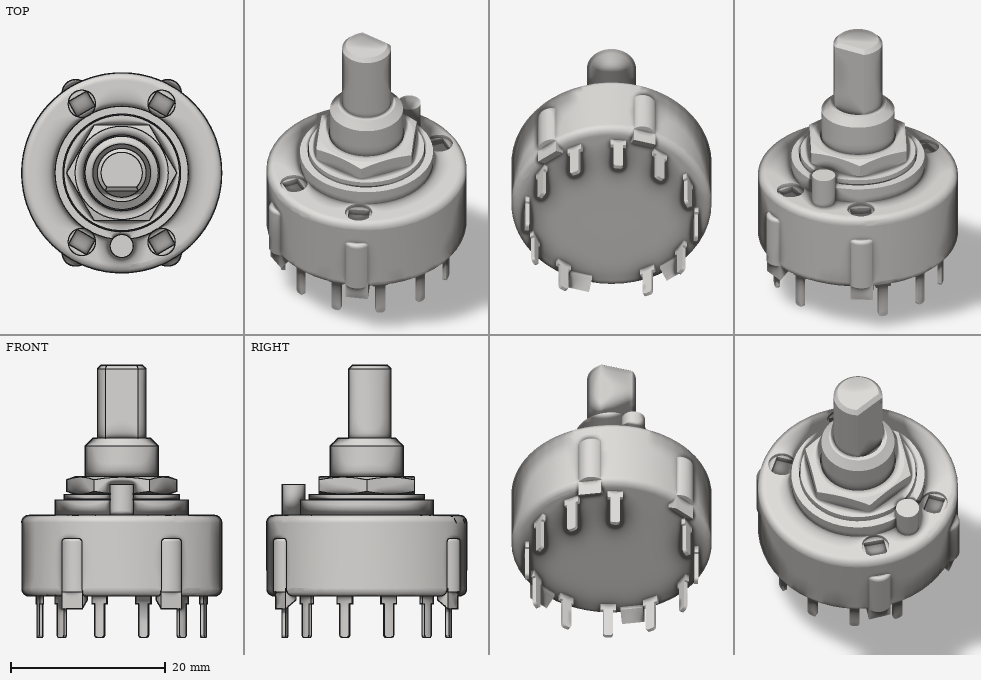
import cadquery as cq
import math

HOUSING_DIA = 26.0
HOUSING_HEIGHT = 10.5
HOUSING_EDGE_RADIUS = 1.0

PEDESTAL_DIA = 17.3
PEDESTAL_TOP = 12.5
WELL_DIA = 15.3

BUSHING_DIA = 9.5
BUSHING_TOP = 20.5
BUSHING_BASE_DIA = 10.25
BUSHING_CHAMFER = 1.0
SHAFT_DIA = 6.35
SHAFT_TOP = 30.0
SHAFT_CHAMFER = 0.5
FLAT_OFFSET = 2.35
FLAT_DEPTH_IN_BUSHING = 1.0

LOCATOR_DIA = 3.0
LOCATOR_OFFSET = 9.5
LOCATOR_TOP = 14.5

CLIP_STATIONS = ((60, 1), (120, -1), (240, 1), (300, -1))
CLIP_DIA = 3.55
WINDOW_OFFSET = 10.35
WINDOW_ROUND_DEPTH = 0.5
WINDOW_SLOT_WIDTH = 2.75
WINDOW_SLOT_LENGTH = 2.25
WINDOW_SLOT_DEPTH = 0.85
RIB_OFFSET = 11.95
RIB_BOTTOM = 0.55
RIB_TOP = 7.5
RIB_TOP_RADIUS = 0.45
HOOK_OUTER = 12.9
HOOK_DEPTH = 1.5
HOOK_WIDTH = 2.95
HOOK_TWIST = 4.0
HOOK_SLOPE_TOP = -0.5
HOOK_TIP = -1.65

TERMINAL_PLACES = 12
EMPTY_PLACE = 9
TERMINAL_OFFSET = 11.0
TERMINAL_WIDTH = 1.25
TERMINAL_THICKNESS = 0.5
TERMINAL_BOTTOM = -5.4
TERMINAL_TIP_RADIUS = 0.4
SHOULDER_WIDTH = 2.0
SHOULDER_LENGTH = 1.0

FLANGE_DIA = 15.0
FLANGE_BOTTOM = 12.6
FLANGE_TOP = 13.2
FLANGE_BORE_DIA = 10.31
NUT_TOP = 15.5
NUT_ACROSS_FLATS = 12.4
NUT_FACE_DIA = 12.1
NUT_BEVEL_HEIGHT = 0.4
NUT_BORE_DIA = 9.85


def cylinder(diameter, bottom, top):
    return cq.Workplane("XY").workplane(offset=bottom).circle(diameter / 2).extrude(top - bottom)


def box(x_range, y_width, z_range):
    """Box symmetric about the XZ plane."""
    length = x_range[1] - x_range[0]
    height = z_range[1] - z_range[0]
    return (
        cq.Workplane("XY")
        .box(length, y_width, height, centered=(False, True, False))
        .translate((x_range[0], 0, z_range[0]))
    )


def turned(shape, angle):
    return shape.rotate((0, 0, 0), (0, 0, 1), angle)


def make_shaft():
    flat_bottom = BUSHING_TOP - FLAT_DEPTH_IN_BUSHING
    shaft = cylinder(SHAFT_DIA, flat_bottom, SHAFT_TOP)
    beyond_flat = box((-SHAFT_DIA, SHAFT_DIA), SHAFT_DIA, (flat_bottom, SHAFT_TOP))
    shaft = shaft.cut(beyond_flat.translate((0, -FLAT_OFFSET - SHAFT_DIA / 2, 0)))
    return shaft.faces(">Z").edges().chamfer(SHAFT_CHAMFER)


def make_window():
    """Round sink with a rectangular slot below it, on the +X side."""
    round_bottom = HOUSING_HEIGHT - WINDOW_ROUND_DEPTH
    sink = cylinder(CLIP_DIA, round_bottom, HOUSING_HEIGHT).translate((WINDOW_OFFSET, 0, 0))
    slot_x = (WINDOW_OFFSET - WINDOW_SLOT_LENGTH / 2, WINDOW_OFFSET + WINDOW_SLOT_LENGTH / 2)
    slot_z = (round_bottom - WINDOW_SLOT_DEPTH, round_bottom)
    return sink.union(box(slot_x, WINDOW_SLOT_WIDTH, slot_z))


def make_clip(twist):
    """Round rib on the housing wall and the hook below it, on the +X side."""
    rib = cylinder(CLIP_DIA, RIB_BOTTOM, RIB_TOP).faces(">Z").edges().fillet(RIB_TOP_RADIUS)
    hook = (
        cq.Workplane("XZ")
        .polyline([
            (-HOOK_DEPTH, HOUSING_EDGE_RADIUS),
            (-HOOK_DEPTH, HOOK_SLOPE_TOP),
            (0, HOOK_TIP),
            (0, HOUSING_EDGE_RADIUS),
        ])
        .close()
        .extrude(HOOK_WIDTH / 2, both=True)
    )
    hook = turned(hook, twist).translate((HOOK_OUTER, 0, 0))
    return rib.translate((RIB_OFFSET, 0, 0)).union(hook)


def make_terminal():
    """Flat blade with a wider shoulder under the housing, on the +X side."""
    thickness_range = (
        TERMINAL_OFFSET - TERMINAL_THICKNESS / 2,
        TERMINAL_OFFSET + TERMINAL_THICKNESS / 2,
    )
    blade = box(thickness_range, TERMINAL_WIDTH, (TERMINAL_BOTTOM, 0))
    blade = blade.faces("<Z").edges("|X").fillet(TERMINAL_TIP_RADIUS)
    shoulder = box(thickness_range, SHOULDER_WIDTH, (-SHOULDER_LENGTH, 0))
    return blade.union(shoulder)


def make_switch():
    switch = cylinder(HOUSING_DIA, 0, HOUSING_HEIGHT).edges().fillet(HOUSING_EDGE_RADIUS)
    pedestal = cylinder(PEDESTAL_DIA, HOUSING_HEIGHT, PEDESTAL_TOP)
    switch = switch.union(pedestal)

    for angle, twist_sense in CLIP_STATIONS:
        switch = switch.cut(turned(make_window(), angle))
        switch = switch.union(turned(make_clip(twist_sense * HOOK_TWIST), angle))

    switch = switch.cut(cylinder(WELL_DIA, HOUSING_HEIGHT, PEDESTAL_TOP))
    locator = cylinder(LOCATOR_DIA, HOUSING_HEIGHT, LOCATOR_TOP)
    switch = switch.union(locator.translate((0, -LOCATOR_OFFSET, 0)))

    bushing = cylinder(BUSHING_DIA, HOUSING_HEIGHT, BUSHING_TOP)
    bushing = bushing.faces(">Z").edges().chamfer(BUSHING_CHAMFER)
    bushing = bushing.union(cylinder(BUSHING_BASE_DIA, HOUSING_HEIGHT, FLANGE_TOP))
    shaft_hole = cylinder(SHAFT_DIA, BUSHING_TOP - FLAT_DEPTH_IN_BUSHING, BUSHING_TOP)
    switch = switch.union(bushing.cut(shaft_hole)).union(make_shaft())

    pitch = 360 / TERMINAL_PLACES
    for place in range(TERMINAL_PLACES):
        if place != EMPTY_PLACE:
            switch = switch.union(turned(make_terminal(), (place + 0.5) * pitch))
    return switch


def make_nut():
    corner_radius = NUT_ACROSS_FLATS / 2 / math.cos(math.pi / 6)
    face_radius = NUT_FACE_DIA / 2
    hexagon = (
        cq.Workplane("XY")
        .workplane(offset=FLANGE_TOP)
        .polygon(6, 2 * corner_radius)
        .extrude(NUT_TOP - FLANGE_TOP)
    )
    bevelled_blank = (
        cq.Workplane("XZ")
        .polyline([
            (0, FLANGE_TOP),
            (face_radius, FLANGE_TOP),
            (corner_radius, FLANGE_TOP + NUT_BEVEL_HEIGHT),
            (corner_radius, NUT_TOP - NUT_BEVEL_HEIGHT),
            (face_radius, NUT_TOP),
            (0, NUT_TOP),
        ])
        .close()
        .revolve(360, (0, 0, 0), (0, 1, 0))
    )
    nut = hexagon.intersect(bevelled_blank)
    nut = nut.union(cylinder(FLANGE_DIA, FLANGE_BOTTOM, FLANGE_TOP))
    nut = nut.cut(cylinder(FLANGE_BORE_DIA, FLANGE_BOTTOM, FLANGE_TOP))
    return nut.cut(cylinder(NUT_BORE_DIA, FLANGE_TOP, NUT_TOP))


switch = make_switch()
nut = make_nut()

result = cq.Compound.makeCompound([switch.val(), nut.val()])